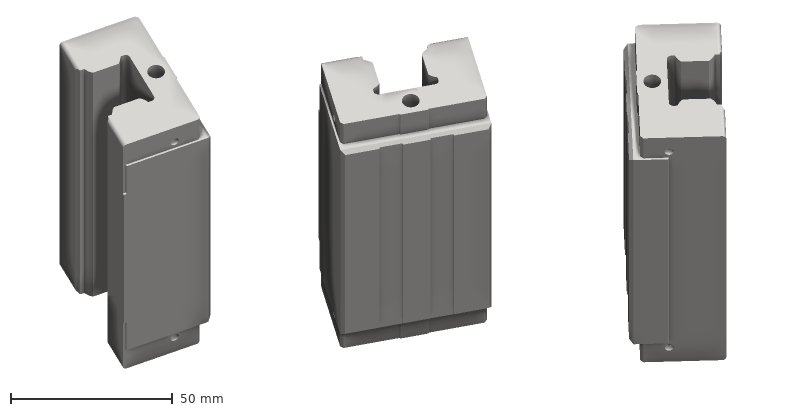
import cadquery as cq
import math

length = 105.0
width = 48.0
height = 30.0

cap_half_width = 23.3
cap_height = 26.6
cap_corner_chamfer = 0.9
cap_edge_fillet = 1.4
ridge_half_width = 4.4
ridge_rise = 0.3

block_inset = 9.3
block_half_width = width / 2
block_chamfer = 1.3
block_length = length - 2 * block_inset
shoulder_height = 17.6
shoulder_rise = 0.4
foot_notch_reach = 22.4
foot_notch_height = 0.9

groove_inner = 4.4
groove_outer = 11.8
groove_depth = 0.3

channel_top = 17.2
channel_half_width = 10.3
channel_top_fillet = 1.4
raceway_mid_y = 8.5
neck_half_width = 7.8
neck_half_height = 4.3
raceway_edge_x = 9.6
raceway_edge_offset = 5.8
raceway_root_offset = 6.2
raceway_bulge = 0.15
lip_y = 0.9
lip_knee_x = 11.3
lip_knee_y = 0.6
mouth_half_width = 11.9

end_hole_diameter = 5.5
end_hole_y = 22.0
end_hole_depth = 8.4
drill_tip_angle = 118
side_hole_diameter = 2.8
side_hole_y = 17.6
side_hole_inset = 6.6
side_hole_depth = 2.1


def mirrored(right_half):
    """Complete an outline symmetric about X = 0 from the points of its +X half."""
    return right_half + [(-x, y) for x, y in reversed(right_half)]


def prism(points, depth):
    """Extrude an XY outline along Z, centred on Z = 0."""
    return cq.Workplane("XY").polyline(points).close().extrude(depth / 2, both=True)


def make_body():
    """Full-length body carrying both end caps, with a low ridge along its middle."""
    outline = mirrored([
        (cap_half_width, 0),
        (cap_half_width, cap_height - cap_corner_chamfer),
        (cap_half_width - cap_corner_chamfer, cap_height),
        (ridge_half_width + ridge_rise, cap_height),
        (ridge_half_width, cap_height + ridge_rise),
    ])
    return prism(outline, length).faces("<Y").edges("|X").fillet(cap_edge_fillet)


def make_block():
    """Steel block: shouldered on -X, full height on +X, chamfered round its mounting face."""
    outline = [
        (-cap_half_width, 0),
        (block_half_width, 0),
        (block_half_width, height),
        (-block_half_width, height),
        (-block_half_width, shoulder_height + shoulder_rise),
        (-cap_half_width, shoulder_height),
    ]
    block = prism(outline, block_length).faces(">Y").chamfer(block_chamfer)
    for side in (-1, 1):
        groove = cq.Workplane("XY").box(groove_outer - groove_inner, 2 * groove_depth, length)
        block = block.cut(groove.translate((side * (groove_outer + groove_inner) / 2, height, 0)))
    foot_notch_length = foot_notch_reach - block_inset
    for end in (-1, 1):
        notch = cq.Workplane("XY").box(width, 2 * foot_notch_height, foot_notch_length)
        block = block.cut(notch.translate((0, 0, end * (block_length - foot_notch_length) / 2)))
    return block


def make_channel():
    """Rail channel, narrowed between the two legs and flared at the mouth."""
    half_outline = (
        cq.Workplane("XY")
        .moveTo(0, 0)
        .lineTo(mouth_half_width, 0)
        .lineTo(lip_knee_x, lip_knee_y)
        .lineTo(channel_half_width, lip_y)
        .lineTo(channel_half_width, raceway_mid_y - raceway_root_offset)
        .lineTo(raceway_edge_x, raceway_mid_y - raceway_edge_offset)
        .sagittaArc((neck_half_width, raceway_mid_y - neck_half_height), raceway_bulge)
        .lineTo(neck_half_width, raceway_mid_y + neck_half_height)
        .sagittaArc((raceway_edge_x, raceway_mid_y + raceway_edge_offset), raceway_bulge)
        .lineTo(channel_half_width, raceway_mid_y + raceway_root_offset)
        .lineTo(channel_half_width, channel_top)
        .lineTo(0, channel_top)
        .close()
    )
    half = half_outline.extrude(length / 2, both=True)
    channel = half.union(half.mirror("YZ")).clean()
    return channel.faces(">Y").edges("|Z").fillet(channel_top_fillet)


def make_end_hole():
    """Blind drilled hole with a conical bottom, entering the +Z end."""
    radius = end_hole_diameter / 2
    tip = radius / math.tan(math.radians(drill_tip_angle / 2))
    profile = [
        (0, length / 2),
        (radius, length / 2),
        (radius, length / 2 - end_hole_depth),
        (0, length / 2 - end_hole_depth - tip),
    ]
    hole = cq.Workplane("XZ").polyline(profile).close().revolve(360, (0, 0), (0, 1))
    return hole.translate((0, end_hole_y, 0))


def make_side_hole(side, end):
    """Blind flat-bottomed hole in one side of one end cap."""
    start = cq.Vector(side * cap_half_width, side_hole_y, end * (length / 2 - side_hole_inset))
    return cq.Solid.makeCylinder(side_hole_diameter / 2, side_hole_depth, start, cq.Vector(-side, 0, 0))


result = make_body().union(make_block()).cut(make_channel())

end_hole = make_end_hole()
result = result.cut(end_hole).cut(end_hole.mirror("XY"))

for side in (-1, 1):
    for end in (-1, 1):
        result = result.cut(cq.Workplane(make_side_hole(side, end)))